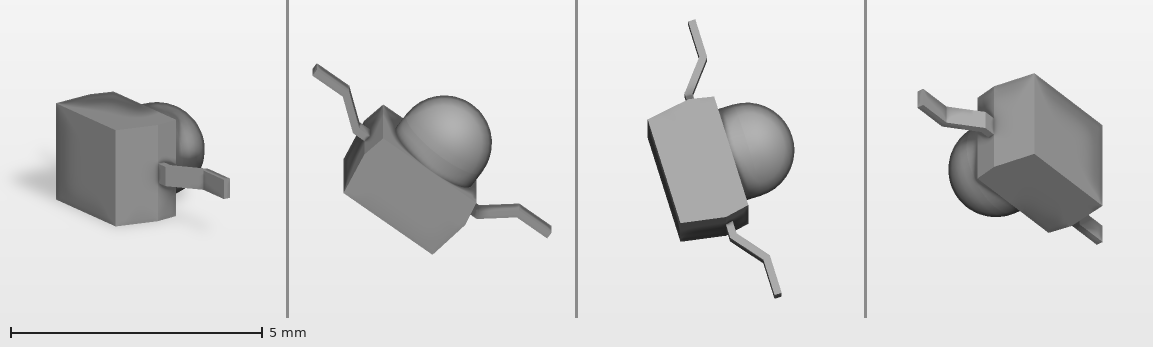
import cadquery as cq
import math

body_height = 2.0
body_depth = 1.4
parting_y = 0.9
front_width = 2.2
parting_width = 2.5
back_width = 2.3

lens_radius = 0.95
lens_offset_x = -0.1
lens_straight_length = 0.35

lead_span = 5.8
lead_thickness = 0.15
lead_width = 0.4
lead_step = 0.5
lead_inner_y = parting_y
lead_outer_y = lead_inner_y + lead_step
lead_root_x = 1.0
inner_bend_x = 1.53
outer_bend_x = 2.15
bend_shift = 0.05


def make_body():
    outline = [
        (-front_width / 2, 0),
        (front_width / 2, 0),
        (parting_width / 2, parting_y),
        (back_width / 2, body_depth),
        (-back_width / 2, body_depth),
        (-parting_width / 2, parting_y),
    ]
    return cq.Workplane("XY").polyline(outline).close().extrude(body_height / 2, both=True)


def make_lens():
    """Revolve a half profile, buried end to dome tip, about the lens axis."""
    base_y = parting_y
    dome_y = body_depth + lens_straight_length
    diagonal = lens_radius * math.sin(math.pi / 4)
    profile = (
        cq.Workplane("XY")
        .moveTo(0, base_y)
        .lineTo(lens_radius, base_y)
        .lineTo(lens_radius, dome_y)
        .threePointArc((diagonal, dome_y + diagonal), (0, dome_y + lens_radius))
        .close()
    )
    return profile.revolve(360, (0, 0), (0, 1)).translate((lens_offset_x, 0, 0))


def make_lead(side):
    """Bent strip lead; side is +1 for +X and -1 for -X."""
    tip_x = lead_span / 2
    outline = [
        (lead_root_x, lead_inner_y),
        (inner_bend_x, lead_inner_y),
        (outer_bend_x, lead_outer_y),
        (tip_x, lead_outer_y),
        (tip_x, lead_outer_y + lead_thickness),
        (outer_bend_x - bend_shift, lead_outer_y + lead_thickness),
        (inner_bend_x - bend_shift, lead_inner_y + lead_thickness),
        (lead_root_x, lead_inner_y + lead_thickness),
    ]
    points = [(side * x, y) for x, y in outline]
    return cq.Workplane("XY").polyline(points).close().extrude(lead_width / 2, both=True)


result = make_body().union(make_lens())
for side in (-1, 1):
    result = result.union(make_lead(side))